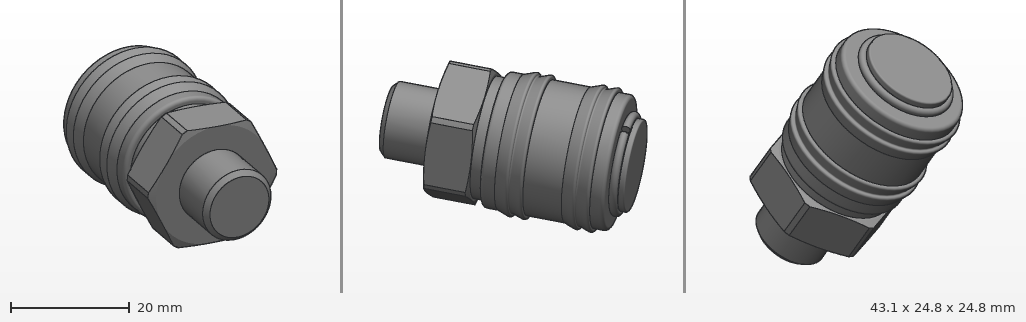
import cadquery as cq
import math


total_length = 43.1
flange_diameter = 15.95
flange_width = 1.1
flange_fillet = 0.3
neck_diameter = 15.0
collar_diameter = 21.0
hex_start = 26.1
hex_width = 7.97
hex_across_flats = 22.0
hex_across_corners = 24.8
hex_turn = 4.5
hex_chamfer_angle = 15.0
stub_diameter = 13.15
stub_chamfer = 0.9

wire_diameter = 1.5
ring_gap = 1.05
ring_diameter = neck_diameter + wire_diameter
ring_x = flange_width + wire_diameter / 2

sleeve_start = flange_width + wire_diameter
sleeve_length = 21.6
sleeve_end = sleeve_start + sleeve_length
sleeve_radius = 23.3 / 2
sleeve_fillet = 0.7
rib_tip_radius = 24.8 / 2
rib_slope = math.radians(20.0)
rib_tip_fillet = 0.4
rib_valley_fillet = 0.2
rib_pitch = 2.45
rib_pair_starts = (5.1, 16.7)


def revolve_about_x(outline):
    """Turn a closed outline, drawn as (axial, radial) in the XY plane, about X."""
    return outline.close().revolve(360, (0, 0, 0), (1, 0, 0))


def cylinder(start, end, diameter):
    return cq.Workplane("YZ", origin=(start, 0, 0)).circle(diameter / 2).extrude(end - start)


def make_hexagon():
    """Hexagon with turned corners, chamfered by a cone at both ends."""
    point_to_point = hex_across_flats / math.cos(math.pi / 6)
    hexagon = (
        cq.Workplane("YZ", origin=(hex_start, 0, 0))
        .polygon(6, point_to_point)
        .extrude(hex_width)
        .rotate((0, 0, 0), (1, 0, 0), -hex_turn)
    )
    face_radius = hex_across_flats / 2
    corner_radius = hex_across_corners / 2
    chamfer_depth = (corner_radius - face_radius) * math.tan(math.radians(hex_chamfer_angle))
    hex_end = hex_start + hex_width
    envelope = revolve_about_x(
        cq.Workplane("XY")
        .moveTo(hex_start, 0)
        .lineTo(hex_start, face_radius)
        .lineTo(hex_start + chamfer_depth, corner_radius)
        .lineTo(hex_end - chamfer_depth, corner_radius)
        .lineTo(hex_end, face_radius)
        .lineTo(hex_end, 0)
    )
    return hexagon.intersect(envelope)


def make_core():
    flange = cylinder(0, flange_width, flange_diameter).faces("<X").edges().fillet(flange_fillet)
    neck = cylinder(flange_width, sleeve_end, neck_diameter)
    collar = cylinder(sleeve_end, hex_start, collar_diameter)
    stub = cylinder(hex_start + hex_width, total_length, stub_diameter)
    stub = stub.faces(">X").edges().chamfer(stub_chamfer)
    return flange.union(neck).union(collar).union(make_hexagon()).union(stub)


def add_rib_pair(outline, start):
    """Continue the sleeve outline over two ribs with steep fronts and sloping backs."""
    sin_slope = math.sin(rib_slope)
    cos_slope = math.cos(rib_slope)
    tan_slope = math.tan(rib_slope)
    tip_centre_radius = rib_tip_radius - rib_tip_fillet
    back_offset = rib_tip_fillet * (1 + sin_slope)
    back_radius = tip_centre_radius + rib_tip_fillet * cos_slope

    second_start = start + rib_pitch
    valley_x = second_start - rib_valley_fillet * (1 + sin_slope)
    valley_radius = back_radius - (valley_x - start - back_offset) * tan_slope
    outline = (
        outline.lineTo(start, sleeve_radius)
        .lineTo(start, tip_centre_radius)
        .tangentArcPoint((start + back_offset, back_radius), relative=False)
        .lineTo(valley_x, valley_radius)
        .tangentArcPoint((second_start, valley_radius + rib_valley_fillet * cos_slope), relative=False)
    )

    slope_end = second_start + back_offset + (back_radius - sleeve_radius) / tan_slope
    return (
        outline.lineTo(second_start, tip_centre_radius)
        .tangentArcPoint((second_start + back_offset, back_radius), relative=False)
        .lineTo(slope_end, sleeve_radius)
    )


def make_sleeve():
    bore_radius = neck_diameter / 2
    outline = (
        cq.Workplane("XY")
        .moveTo(sleeve_start, bore_radius)
        .lineTo(sleeve_start, sleeve_radius - sleeve_fillet)
        .tangentArcPoint((sleeve_start + sleeve_fillet, sleeve_radius), relative=False)
    )
    for start in rib_pair_starts:
        outline = add_rib_pair(outline, start)
    outline = (
        outline.lineTo(sleeve_end - sleeve_fillet, sleeve_radius)
        .tangentArcPoint((sleeve_end, sleeve_radius - sleeve_fillet), relative=False)
        .lineTo(sleeve_end, bore_radius)
    )
    return revolve_about_x(outline)


def make_snap_ring():
    """Open ring of round wire with its gap at the top (+Z)."""
    gap_angle = math.degrees(ring_gap / (ring_diameter / 2))
    return (
        cq.Workplane("XZ")
        .center(ring_x, ring_diameter / 2)
        .circle(wire_diameter / 2)
        .revolve(360 - gap_angle, (0, -ring_diameter / 2, 0), (1, -ring_diameter / 2, 0))
        .rotate((0, 0, 0), (1, 0, 0), gap_angle / 2)
    )


core = make_core()
sleeve = make_sleeve()
snap_ring = make_snap_ring()

result = cq.Compound.makeCompound([core.val(), sleeve.val(), snap_ring.val()])